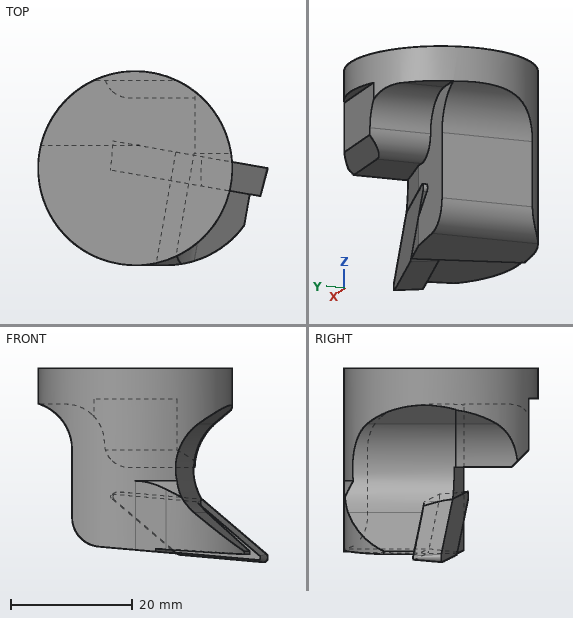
import cadquery as cq
import math


head_radius = 16.005
overall_height = 32.0
margin = 22.73
bottom_slope = 5.0

flat_x = -10.4
flat_top_z = -13.4
flat_arc_radius = 7.88
floor_arc_radius = 4.92
floor_arc_z = -24.55

face_y = 3.8
back_y = 14.47
back_step_z = -5.05
block_bottom_z = -16.33
block_chamfer = 2.85
relief_roof_z = -5.9
relief_arc_z = -12.27
relief_roof_x = -11.48

pad_shift = 5.05
pad_top_z = -18.6
pad_cone_slope = 60.0

insert_yaw = 10.0
insert_tip_angle = 35.0
insert_side = 16.6
insert_thickness = 4.77
insert_relief = 5.0
nose_radius = 0.8
nose_y = 0.15
insert_reach = 21.875
nose_x = insert_reach - nose_radius * math.cos(math.radians(insert_yaw))
nose_z = nose_radius - overall_height

gullet_straight_y = 2.45
gullet_depth_u = -11.65
gullet_mid_z = -16.48
gullet_upper_u = -8.4
gullet_upper_z = -9.2
gullet_lower_u = -8.55
gullet_lower_z = -23.8
gullet_lower_slope = 41.8
gullet_upper_slope = 40.0
nose_end_u = -1.4
clearance_start_u = -14.65
clearance_start_z = -29.77
clearance_slope = 4.0


def slope(degrees):
    return math.tan(math.radians(degrees))


def polar(length, degrees):
    angle = math.radians(degrees)
    return cq.Vector(length * math.cos(angle), length * math.sin(angle))


def insert_plane(z=0.0):
    """Plane of the rake face: local x runs to the nose, local y is +Z, normal points to -Y."""
    yaw = math.radians(insert_yaw)
    return cq.Plane(
        origin=(nose_x, nose_y, z),
        xDir=(math.cos(yaw), -math.sin(yaw), 0),
        normal=(-math.sin(yaw), -math.cos(yaw), 0),
    )


def box(x_range, y_range, z_range):
    size = [r[1] - r[0] for r in (x_range, y_range, z_range)]
    corner = (x_range[0], y_range[0], z_range[0])
    return cq.Workplane("XY").box(*size, centered=False).translate(corner)


def make_pad():
    """Head circle shifted to +X, with a conical top around the head axis."""
    pad = cq.Workplane("XY").center(pad_shift, 0).circle(head_radius).extrude(-overall_height)
    bridge = box((0, pad_shift), (-head_radius, 0), (-overall_height, 0))
    pad = pad.union(bridge).intersect(box((0, 2 * margin), (-margin, face_y), (-overall_height, 0)))
    cone_height = overall_height + pad_top_z
    cone_foot = head_radius + cone_height / slope(pad_cone_slope)
    cone = (
        cq.Workplane("XZ")
        .moveTo(0, pad_top_z)
        .lineTo(head_radius, pad_top_z)
        .lineTo(cone_foot, -overall_height)
        .lineTo(0, -overall_height)
        .close()
        .revolve(360, (0, 0, 0), (0, 1, 0))
    )
    return pad.intersect(cone)


def side_flat_cutter():
    """Waste outside the flat and its two arcs, and below the sloping floor."""
    arc_center_x = flat_x - flat_arc_radius
    arc_mid = polar(flat_arc_radius, 45)
    floor_arc_x = flat_x + floor_arc_radius
    floor_offset = polar(floor_arc_radius, -90 - bottom_slope)
    floor_start_x = floor_arc_x + floor_offset.x
    floor_start_z = floor_arc_z + floor_offset.y
    floor_end_x = margin
    floor_end_z = floor_start_z - (floor_end_x - floor_start_x) * slope(bottom_slope)
    low_z = -2 * overall_height
    return (
        cq.Workplane("XZ", origin=(0, margin, 0))
        .moveTo(arc_center_x, flat_top_z + flat_arc_radius)
        .threePointArc((arc_center_x + arc_mid.x, flat_top_z + arc_mid.y), (flat_x, flat_top_z))
        .lineTo(flat_x, floor_arc_z)
        .tangentArcPoint((floor_start_x, floor_start_z), relative=False)
        .lineTo(floor_end_x, floor_end_z)
        .lineTo(floor_end_x, low_z)
        .lineTo(arc_center_x, low_z)
        .close()
        .extrude(2 * margin)
    )


def back_cutters():
    """Back flat, block underside with its chamfer, and the rounded relief on the -X side."""
    outline = (
        cq.Workplane("YZ", origin=(-margin, 0, 0))
        .moveTo(margin, back_step_z)
        .lineTo(back_y, back_step_z)
        .lineTo(back_y, block_bottom_z + block_chamfer)
        .lineTo(back_y - block_chamfer, block_bottom_z)
        .lineTo(face_y, block_bottom_z)
        .lineTo(face_y, -2 * overall_height)
        .lineTo(margin, -2 * overall_height)
        .close()
        .extrude(3 * margin)
    )
    radius = relief_roof_z - relief_arc_z
    lower_radius = relief_arc_z - block_bottom_z
    wall_x = relief_roof_x + radius
    arc_mid = polar(radius, 45)
    relief = (
        cq.Workplane("XZ", origin=(0, margin, 0))
        .moveTo(-margin, relief_roof_z)
        .lineTo(relief_roof_x, relief_roof_z)
        .threePointArc((relief_roof_x + arc_mid.x, relief_arc_z + arc_mid.y), (wall_x, relief_arc_z))
        .tangentArcPoint((wall_x + lower_radius, block_bottom_z), relative=False)
        .lineTo(-margin, block_bottom_z)
        .close()
        .extrude(margin - face_y)
    )
    return [outline, relief]


def gullet_outline(workplane, origin_u=0.0):
    """Chip gullet outline: an arc between two slopes, ending at the nose end face."""
    far_u = margin
    upper_end_z = gullet_upper_z + (far_u - gullet_upper_u) * slope(gullet_upper_slope)
    lower_end_z = gullet_lower_z - (nose_end_u - gullet_lower_u) * slope(gullet_lower_slope)
    low_z = -2 * overall_height
    return (
        workplane.moveTo(origin_u + far_u, upper_end_z)
        .lineTo(origin_u + gullet_upper_u, gullet_upper_z)
        .threePointArc(
            (origin_u + gullet_depth_u, gullet_mid_z),
            (origin_u + gullet_lower_u, gullet_lower_z),
        )
        .lineTo(origin_u + nose_end_u, lower_end_z)
        .lineTo(origin_u + nose_end_u, low_z)
        .lineTo(origin_u + far_u, low_z)
        .close()
    )


def gullet_cutters():
    """Gullet running square to the insert, continued straight along Y towards the back."""
    gullet = gullet_outline(cq.Workplane(insert_plane())).extrude(margin, both=True)
    straight_shift = nose_x + (gullet_straight_y - nose_y) * slope(insert_yaw)
    straight_plane = cq.Workplane("XZ", origin=(0, gullet_straight_y, 0))
    straight = gullet_outline(straight_plane, straight_shift).extrude(-margin)
    front_half = box((-margin, 3 * margin), (-2 * margin, gullet_straight_y), (-3 * margin, 3 * margin))
    return [gullet.intersect(front_half), straight]


def clearance_cutter():
    """Clearance under the nose, parallel to the rake plane normal."""
    end_z = clearance_start_z + (clearance_start_u - margin) * slope(clearance_slope)
    return (
        cq.Workplane(insert_plane())
        .moveTo(clearance_start_u, clearance_start_z)
        .lineTo(margin, end_z)
        .lineTo(margin, -2 * overall_height)
        .lineTo(clearance_start_u, -2 * overall_height)
        .close()
        .extrude(margin, both=True)
    )


def rake_cutter():
    """Everything in front of the rake plane below the shallow block."""
    return (
        cq.Workplane(insert_plane())
        .moveTo(-2 * margin, block_bottom_z)
        .lineTo(margin, block_bottom_z)
        .lineTo(margin, -2 * overall_height)
        .lineTo(-2 * margin, -2 * overall_height)
        .close()
        .extrude(-margin)
    )


def make_insert():
    """Rhombic insert with rounded corners, tapering away from its rake face."""
    lower_direction = 180 - bottom_slope
    upper_direction = lower_direction - insert_tip_angle
    half_angle = insert_tip_angle / 2
    tip_distance = nose_radius / math.sin(math.radians(half_angle))
    tip = polar(-tip_distance, lower_direction - half_angle)
    lower = tip + polar(insert_side, lower_direction)
    upper = tip + polar(insert_side, upper_direction)
    far = lower + upper - tip
    outline = cq.Sketch().polygon([p.toTuple()[:2] for p in (tip, upper, far, lower, tip)])
    outline = outline.vertices().fillet(nose_radius)
    plane = insert_plane(nose_z)
    return cq.Workplane(plane).placeSketch(outline).extrude(insert_thickness, taper=insert_relief)


def make_head(insert):
    head = cq.Workplane("XY").circle(head_radius).extrude(-overall_height).union(make_pad())
    cutters = [
        side_flat_cutter(),
        *back_cutters(),
        *gullet_cutters(),
        clearance_cutter(),
        rake_cutter(),
    ]
    for cutter in cutters:
        head = head.cut(cutter)
    return head.cut(insert)


insert = make_insert()
head = make_head(insert)

result = cq.Compound.makeCompound([head.val(), insert.val()])